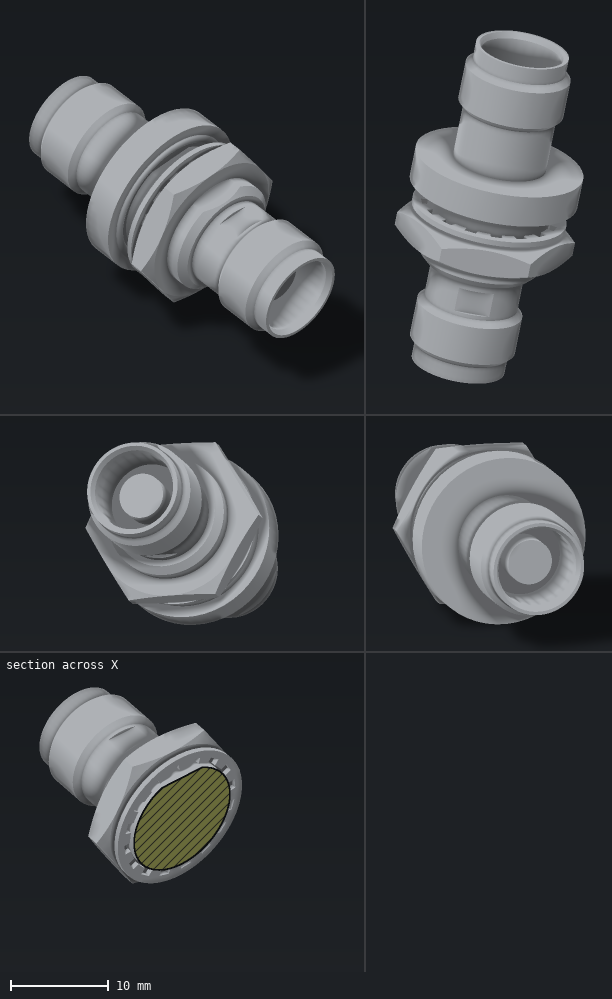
import cadquery as cq
import math

LENGTH = 35.3

BARREL_RADIUS = 4.85
COLLAR_RADIUS = 5.47
COLLAR_END_GAP = 1.75
COLLAR_LENGTH = 5.3
COLLAR_CHAMFER = COLLAR_RADIUS - BARREL_RADIUS

FLANGE_DIAMETER = 17.47
FLANGE_START = 12.6
FLANGE_END = 15.9
THREAD_RADIUS = 6.2
THREAD_END = 24.3
THREAD_CHAMFER = 0.75
THREAD_FLAT_HEIGHT = 5.65

WRENCH_FLAT_START = 25.2
WRENCH_FLAT_LENGTH = 2.58
WRENCH_FLAT_HEIGHT = 4.5

SOCKET_RIM_RADIUS = 4.5
SOCKET_MOUTH_RADIUS = 4.15
SOCKET_FLOOR_RADIUS = 4.02
SOCKET_MOUTH_DEPTH = 0.6
SOCKET_DEPTH = 6.0
CONTACT_POST_RADIUS = 2.33
CONTACT_POST_DEPTH = 3.15

SEAL_RING_RADIUS = 7.13
SEAL_SECTION_RADIUS = 0.5
SEAL_STANDOUT = 0.32

WASHER_START = 18.0
WASHER_THICKNESS = 0.55
WASHER_RADIUS = 8.0
WASHER_TOOTH_TIP_RADIUS = 6.42
WASHER_NOTCH_RADIUS = 7.13
WASHER_NOTCH_COUNT = 16
WASHER_NOTCH_WIDTH = 1.25
WASHER_FIRST_NOTCH_ANGLE = 16.5

NUT_START = 19.27
NUT_THICKNESS = 2.75
NUT_ACROSS_CORNERS = 18.5
NUT_CHAMFER_LENGTH = 0.67


def x_cylinder(radius, start, length):
    return cq.Workplane("YZ", origin=(start, 0, 0)).circle(radius).extrude(length)


def revolve_about_x(points):
    """Solid of revolution from a closed outline of (station, radius) points."""
    return cq.Workplane("XY").polyline(points).close().revolve(360, (0, 0, 0), (1, 0, 0))


def make_collar(start):
    end = start + COLLAR_LENGTH
    return revolve_about_x([
        (start, 0),
        (start, BARREL_RADIUS),
        (start + COLLAR_CHAMFER, COLLAR_RADIUS),
        (end - COLLAR_CHAMFER, COLLAR_RADIUS),
        (end, BARREL_RADIUS),
        (end, 0),
    ])


def make_thread():
    thread = x_cylinder(THREAD_RADIUS, FLANGE_END, THREAD_END - FLANGE_END)
    thread = thread.faces(">X").chamfer(THREAD_CHAMFER)
    above_flat = cq.Workplane("XY", origin=(LENGTH / 2, 0, THREAD_FLAT_HEIGHT)).box(
        LENGTH, 2 * THREAD_RADIUS, THREAD_RADIUS, centered=(True, True, False))
    return thread.cut(above_flat)


def make_wrench_flats():
    """Material removed from the barrel's top and bottom."""
    ring = x_cylinder(BARREL_RADIUS, WRENCH_FLAT_START, WRENCH_FLAT_LENGTH)
    core = cq.Workplane("XY", origin=(LENGTH / 2, 0, 0)).box(
        LENGTH, 2 * BARREL_RADIUS, 2 * WRENCH_FLAT_HEIGHT)
    return ring.cut(core)


def make_socket():
    """Material removed to form the socket, leaving the contact post."""
    socket = revolve_about_x([
        (0, 0),
        (0, SOCKET_RIM_RADIUS),
        (SOCKET_MOUTH_DEPTH, SOCKET_MOUTH_RADIUS),
        (SOCKET_DEPTH, SOCKET_FLOOR_RADIUS),
        (SOCKET_DEPTH, 0),
    ])
    post = x_cylinder(CONTACT_POST_RADIUS, CONTACT_POST_DEPTH, SOCKET_DEPTH - CONTACT_POST_DEPTH)
    return socket.cut(post)


def make_seal():
    centre = FLANGE_END + SEAL_STANDOUT - SEAL_SECTION_RADIUS
    ring = cq.Solid.makeTorus(
        SEAL_RING_RADIUS, SEAL_SECTION_RADIUS, cq.Vector(centre, 0, 0), cq.Vector(1, 0, 0))
    return cq.Workplane(ring)


def make_housing():
    housing = x_cylinder(BARREL_RADIUS, 0, LENGTH)
    for start in (COLLAR_END_GAP, LENGTH - COLLAR_END_GAP - COLLAR_LENGTH):
        housing = housing.union(make_collar(start))
    housing = housing.union(x_cylinder(FLANGE_DIAMETER / 2, FLANGE_START, FLANGE_END - FLANGE_START))
    housing = housing.union(make_thread())
    socket = make_socket()
    far_socket = socket.mirror("YZ", (LENGTH / 2, 0, 0))
    return housing.cut(make_wrench_flats()).cut(socket).cut(far_socket).cut(make_seal())


def make_washer():
    washer = x_cylinder(WASHER_RADIUS, WASHER_START, WASHER_THICKNESS)
    washer = washer.cut(x_cylinder(WASHER_TOOTH_TIP_RADIUS, WASHER_START, WASHER_THICKNESS))
    notch = cq.Workplane("XY", origin=(WASHER_START, 0, 0)).box(
        WASHER_THICKNESS, WASHER_NOTCH_WIDTH, WASHER_NOTCH_RADIUS, centered=(False, True, False))
    for index in range(WASHER_NOTCH_COUNT):
        angle = WASHER_FIRST_NOTCH_ANGLE + index * 360 / WASHER_NOTCH_COUNT
        washer = washer.cut(notch.rotate((0, 0, 0), (1, 0, 0), angle))
    return washer


def make_nut():
    corner_radius = NUT_ACROSS_CORNERS / 2
    face_radius = corner_radius * math.cos(math.pi / 6)
    hexagon = (
        cq.Workplane("YZ", origin=(NUT_START, 0, 0))
        .polygon(6, NUT_ACROSS_CORNERS)
        .extrude(NUT_THICKNESS)
    )
    nut_end = NUT_START + NUT_THICKNESS
    chamfer_cone = revolve_about_x([
        (NUT_START, 0),
        (NUT_START, face_radius),
        (NUT_START + NUT_CHAMFER_LENGTH, corner_radius),
        (nut_end - NUT_CHAMFER_LENGTH, corner_radius),
        (nut_end, face_radius),
        (nut_end, 0),
    ])
    return hexagon.intersect(chamfer_cone).cut(x_cylinder(THREAD_RADIUS, NUT_START, NUT_THICKNESS))


housing = make_housing()
seal = make_seal()
washer = make_washer()
nut = make_nut()

bodies = [housing, seal, washer, nut]
result = cq.Compound.makeCompound([body.solids().val() for body in bodies])